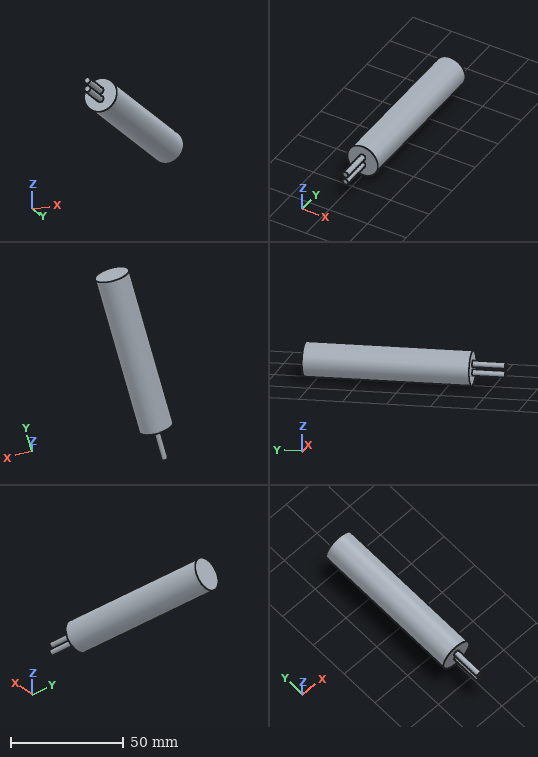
import cadquery as cq

body_diameter = 15.88
body_length = 76.2
lead_diameter = 3.0
lead_length = 15.0
lead_spacing = 4.0


def cylinder_along_y(diameter, start_y, length, center_z=0.0):
    """Solid cylinder parallel to Y, running from start_y toward +Y."""
    return cq.Workplane(
        cq.Solid.makeCylinder(
            diameter / 2,
            length,
            cq.Vector(0, start_y, center_z),
            cq.Vector(0, 1, 0),
        )
    )


result = cylinder_along_y(body_diameter, 0, body_length)
for side in (-1, 1):
    lead_z = side * lead_spacing / 2
    result = result.union(cylinder_along_y(lead_diameter, -lead_length, lead_length, lead_z))